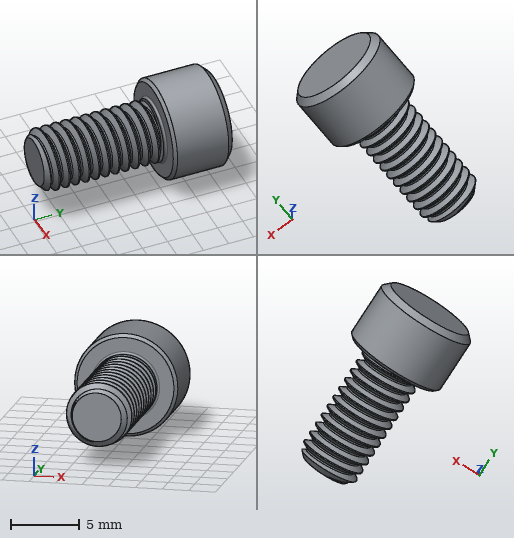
import cadquery as cq
import math

INCH = 25.4

nominal_diameter = 0.19 * INCH

head_diameter = 7.75
head_height = nominal_diameter
head_top_chamfer = 0.5
head_bottom_chamfer = 0.24

shank_length = 0.375 * INCH
tip_diameter = 3.68
neck_length = 0.23
neck_fillet = 0.15

threads_per_inch = 32
depth_per_pitch = 0.6134
pitch = INCH / threads_per_inch
thread_depth = depth_per_pitch * pitch
crest_width = pitch / 8
flank_half_angle = math.radians(30)
groove_overrun = 2
bar_overrun = groove_overrun + 2
cutter_clearance = 0.04
groove_phase = -pitch / 2

shank_radius = nominal_diameter / 2


def make_head():
    """Plain cylinder with a large chamfer on top and a small one at the bearing face."""
    head = cq.Workplane("XY").circle(head_diameter / 2).extrude(head_height)
    head = head.faces(">Z").chamfer(head_top_chamfer)
    return head.faces("<Z").chamfer(head_bottom_chamfer)


def make_neck():
    """Unthreaded collar that flares into the bearing face with a fillet."""
    flare_radius = shank_radius + neck_fillet
    arc_offset = neck_fillet * math.sqrt(0.5)
    profile = (
        cq.Workplane("XZ")
        .moveTo(0, 0)
        .lineTo(flare_radius, 0)
        .threePointArc(
            (flare_radius - arc_offset, arc_offset - neck_fillet),
            (shank_radius, -neck_fillet),
        )
        .lineTo(shank_radius, -neck_length)
        .lineTo(0, -neck_length)
        .close()
    )
    return profile.revolve(360, (0, 0, 0), (0, 1, 0))


def make_thread_groove():
    """Helical V groove with a flat root, overrunning both ends of the shank."""
    shank_turns = round(shank_length / pitch)
    start = groove_phase - (shank_turns + groove_overrun) * pitch
    helix_height = (shank_turns + 2 * groove_overrun) * pitch

    flank_slope = math.tan(flank_half_angle)
    crest_half_gap = (pitch - crest_width) / 2
    root_half_width = crest_half_gap - thread_depth * flank_slope
    outer_half_width = crest_half_gap + cutter_clearance * flank_slope
    root_radius = shank_radius - thread_depth
    outer_radius = shank_radius + cutter_clearance

    helix = cq.Wire.makeHelix(pitch, helix_height, shank_radius)
    profile = (
        cq.Workplane("XZ")
        .moveTo(root_radius, -root_half_width)
        .lineTo(outer_radius, -outer_half_width)
        .lineTo(outer_radius, outer_half_width)
        .lineTo(root_radius, root_half_width)
        .close()
    )
    return profile.sweep(cq.Workplane(helix), isFrenet=True).translate((0, 0, start))


def make_threaded_shank():
    """Threaded bar trimmed flat under the neck and chamfered at the tip."""
    margin = bar_overrun * pitch
    bar = (
        cq.Workplane("XY")
        .workplane(offset=-shank_length - margin)
        .circle(shank_radius)
        .extrude(shank_length + 2 * margin)
        .cut(make_thread_groove())
    )
    trim_radius = head_diameter / 2
    trim = (
        cq.Workplane("XY")
        .workplane(offset=-shank_length)
        .circle(trim_radius)
        .extrude(shank_length - neck_length)
        .faces("<Z")
        .chamfer(trim_radius - tip_diameter / 2)
    )
    return bar.intersect(trim)


screw = make_threaded_shank().union(make_neck()).union(make_head())
result = screw.rotate((0, 0, 0), (0, 0, 1), -90).rotate((0, 0, 0), (1, 0, 0), -90)